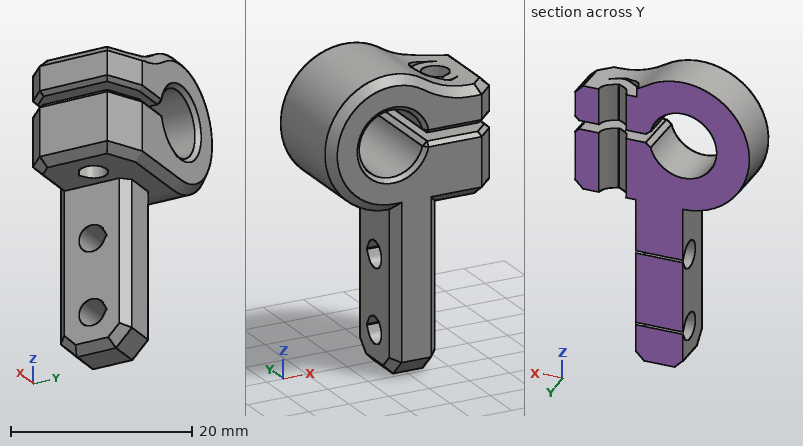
import cadquery as cq
import math

ring_radius = 8.0
bore_radius = 4.0
head_width = 12.6
front_y = -head_width / 2
ear_end_x = 13.0
upper_ear_top = 5.0
neck_radius = 10.0
slit_gap = 1.0
front_corner = 2.0
back_corner_x = 4.25
back_corner_y = 2.0

leg_thickness = 5.7
leg_width = 9.0
leg_bottom = -28.0
leg_corner = 2.0

outer_chamfer = 1.0
inner_chamfer = 0.5

hole_radius = 1.62
tip_half_angle = math.radians(60)
clamp_screw_x = 8.5
spotface_radius = 2.9
tip_rise = 0.2
leg_hole_y = front_y + leg_width / 2
leg_hole_z = (-14.5, -23.5)


def tipped_circle(plane, radius):
    """Circle outline with a tip along -Y of the plane, cut flat at tip_rise past the circle."""
    tip_length = radius + tip_rise
    tangent_x = radius * math.cos(tip_half_angle)
    tangent_y = -radius * math.sin(tip_half_angle)
    tip_half_width = (radius / math.sin(tip_half_angle) - tip_length) * math.tan(tip_half_angle)
    outline = plane.moveTo(tangent_x, tangent_y).threePointArc((0, radius), (-tangent_x, tangent_y))
    return outline.lineTo(-tip_half_width, -tip_length).lineTo(tip_half_width, -tip_length).close()


def corner_keep(start, end):
    """Region kept left of the line start-end, its wall beveled into the ear's top and bottom."""
    along = cq.Vector(end[0] - start[0], end[1] - start[1], 0)
    inward = cq.Vector(-along.y, along.x, 0)
    wall_top = upper_ear_top - outer_chamfer
    wall_bottom = -ring_radius + outer_chamfer
    reach = 4 * ring_radius
    plane = cq.Plane(origin=(*start, 0), xDir=inward, normal=along)
    return (
        cq.Workplane(plane)
        .polyline(
            [
                (0, wall_top),
                (0, wall_bottom),
                (reach, wall_bottom - reach),
                (reach, wall_top + reach),
            ]
        )
        .close()
        .extrude(reach, both=True)
    )


def make_head():
    neck_z = upper_ear_top + neck_radius
    center_distance = ring_radius + neck_radius
    neck_x = math.sqrt(center_distance**2 - neck_z**2)
    joint = (neck_x * ring_radius / center_distance, neck_z * ring_radius / center_distance)
    joint_angle = math.atan2(neck_x, neck_z)
    neck_middle = (
        neck_x - neck_radius * math.sin(joint_angle / 2),
        neck_z - neck_radius * math.cos(joint_angle / 2),
    )
    head = (
        cq.Workplane("XZ", origin=(0, front_y, 0))
        .moveTo(0, -ring_radius)
        .threePointArc((-ring_radius, 0), joint)
        .threePointArc(neck_middle, (neck_x, upper_ear_top))
        .lineTo(ear_end_x, upper_ear_top)
        .lineTo(ear_end_x, -ring_radius)
        .close()
        .extrude(-head_width)
    )
    rim = head.edges("not |Y").add(head.edges("|Y and >X"))
    head = rim.chamfer(outer_chamfer)
    front_cut = ((ear_end_x - front_corner, front_y), (ear_end_x, front_y + front_corner))
    back_cut = ((ear_end_x, -front_y - back_corner_y), (ear_end_x - back_corner_x, -front_y))
    return head.intersect(corner_keep(*front_cut)).intersect(corner_keep(*back_cut))


def cut_bore_and_slit(head):
    bore = cq.Workplane("XZ").circle(bore_radius).extrude(head_width, both=True)
    slit = cq.Workplane("XY").box(ear_end_x, head_width, slit_gap, centered=(False, True, True))
    head = head.cut(bore.union(slit))
    around_slit = cq.selectors.BoxSelector((0, front_y, -slit_gap), (ear_end_x, -front_y, slit_gap))
    slit_edges = head.faces("|Z").faces(around_slit).edges()
    bore_rims = head.edges(cq.selectors.RadiusNthSelector(0))
    return slit_edges.add(bore_rims).chamfer(inner_chamfer)


def make_leg():
    leg_top = -(bore_radius + ring_radius) / 2
    leg = (
        cq.Workplane("XY", origin=(0, front_y, leg_bottom))
        .box(leg_thickness, leg_width, leg_top - leg_bottom, centered=False)
        .edges("|X and <Z")
        .chamfer(leg_corner)
    )
    side_rims = leg.faces("<X or >X").edges("not >Z")
    return side_rims.chamfer(outer_chamfer)


def cut_clamp_screw_hole(part):
    spotface = tipped_circle(
        cq.Workplane("XY", origin=(clamp_screw_x, 0, upper_ear_top)), spotface_radius
    ).extrude(ring_radius)
    hole = tipped_circle(
        cq.Workplane("XY", origin=(clamp_screw_x, 0, 0)), hole_radius
    ).extrude(2 * ring_radius, both=True)
    return part.cut(spotface).cut(hole)


def cut_leg_holes(part):
    for z in leg_hole_z:
        plane = cq.Plane(origin=(0, leg_hole_y, z), xDir=(0, 0, 1), normal=(1, 0, 0))
        part = part.cut(tipped_circle(cq.Workplane(plane), hole_radius).extrude(leg_thickness))
    return part


clamp = cut_bore_and_slit(make_head()).union(make_leg())
result = cut_leg_holes(cut_clamp_screw_hole(clamp))